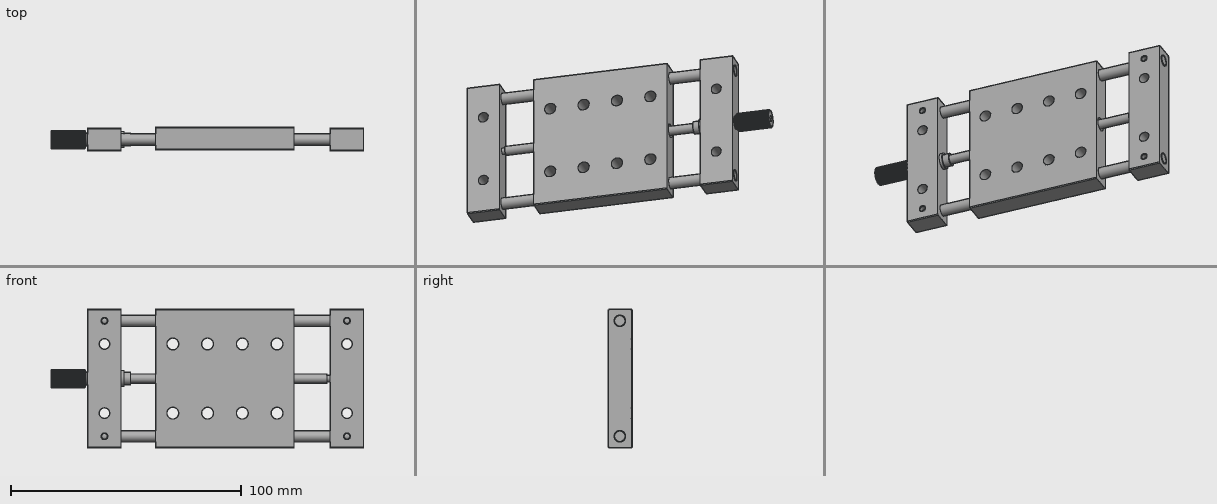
import cadquery as cq
import math

total_length = 135.5
height = 60.0
thickness = 10.0
edge_chamfer = 0.4
carriage_offset = 0.4

block_width = 14.5
left_block_x = 16.0
right_block_x = total_length - block_width
carriage_length = 60.0
carriage_x = 45.4

rod_diameter = 5.0
rod_chamfer = 0.3
rod_spacing = 50.0
rod_heights = (-rod_spacing / 2, rod_spacing / 2)

hole_row_spacing = 30.0
hole_rows = (-hole_row_spacing / 2, hole_row_spacing / 2)
carriage_hole_diameter = 5.0
carriage_hole_pitch = 15.0
carriage_hole_count = 4
block_hole_diameter = 4.5

clamp_hole_diameter = 2.5
clamp_mouth_diameter = 3.0

knob_diameter = 8.0
knob_length = 15.0
knob_root_diameter = 7.5
knob_chamfer = 0.4
knob_bore_diameter = 2.5
knob_bore_depth = 4.0
tooth_count = 40
shoulder_diameter = 6.0
shoulder_length = 0.4
collar_diameter = 7.0
collar_length = 1.2
journal_diameter = 5.5
journal_overhang = 4.0
spindle_diameter = 4.0
tip_diameter = 3.0
tip_length = 1.5
carriage_bore_diameter = 6.0


def cylinder(diameter, start, end, z=0.0):
    """Round bar along X from start to end at height z."""
    return cq.Workplane("YZ", origin=(start, 0, z)).circle(diameter / 2).extrude(end - start)


def cross_hole(diameter, x, z, start=-thickness, end=thickness):
    """Cutter along Y between two depths."""
    return cq.Workplane("XZ", origin=(x, start, z)).circle(diameter / 2).extrude(start - end)


def chamfered_plate(x, length, y=0.0):
    """Plate with its four long edges along X chamfered."""
    plate = cq.Workplane("XY").box(length, thickness, height)
    plate = plate.edges("|X").chamfer(edge_chamfer)
    return plate.translate((x + length / 2, y, 0))


def clamp_hole(x, z):
    """Clamp screw hole with a countersunk mouth, from the front face to the rod axis."""
    front = -thickness / 2
    mouth_depth = (clamp_mouth_diameter - clamp_hole_diameter) / 2
    mouth = cq.Workplane("XZ", origin=(x, front, z)).circle(clamp_mouth_diameter / 2)
    mouth = mouth.workplane(offset=-mouth_depth).circle(clamp_hole_diameter / 2).loft()
    return cross_hole(clamp_hole_diameter, x, z, front, 0).union(mouth)


def make_end_block(x):
    block = chamfered_plate(x, block_width)
    middle = x + block_width / 2
    for z in hole_rows:
        block = block.cut(cross_hole(block_hole_diameter, middle, z))
    for z in rod_heights:
        block = block.cut(clamp_hole(middle, z))
        block = block.cut(cylinder(rod_diameter, x, x + block_width, z))
    return block


def make_left_block():
    journal_bore = cylinder(journal_diameter, left_block_x, left_block_x + block_width)
    return make_end_block(left_block_x).cut(journal_bore)


def make_right_block():
    return make_end_block(right_block_x)


def make_carriage():
    end = carriage_x + carriage_length
    carriage = chamfered_plate(carriage_x, carriage_length, carriage_offset)
    first_hole = carriage_x + (carriage_length - (carriage_hole_count - 1) * carriage_hole_pitch) / 2
    for i in range(carriage_hole_count):
        for z in hole_rows:
            hole = cross_hole(carriage_hole_diameter, first_hole + i * carriage_hole_pitch, z)
            carriage = carriage.cut(hole)
    for z in rod_heights:
        carriage = carriage.cut(cylinder(rod_diameter, carriage_x, end, z))
    return carriage.cut(cylinder(carriage_bore_diameter, carriage_x, end))


def make_rod(z):
    rod = cylinder(rod_diameter, left_block_x, total_length, z)
    return rod.faces("<X or >X").chamfer(rod_chamfer)


def knurl_outline():
    """Points of the toothed knob section, alternating between tooth tips and roots."""
    points = []
    for i in range(2 * tooth_count):
        radius = (knob_root_diameter if i % 2 else knob_diameter) / 2
        angle = math.pi * i / tooth_count
        points.append((radius * math.cos(angle), radius * math.sin(angle)))
    return points


def make_knob():
    """Knob with straight knurling, chamfered ends and a centre bore in its free end."""
    envelope = cylinder(knob_diameter, 0, knob_length)
    envelope = envelope.faces("<X or >X").chamfer(knob_chamfer)
    knob = cq.Workplane("YZ").polyline(knurl_outline()).close().extrude(knob_length)
    return knob.intersect(envelope).cut(cylinder(knob_bore_diameter, 0, knob_bore_depth))


def make_spindle():
    block_end = left_block_x + block_width
    journal_end = block_end + journal_overhang
    tip_start = right_block_x - tip_length
    spindle = make_knob()
    spindle = spindle.union(cylinder(journal_diameter, knob_length, journal_end))
    shoulder_start = left_block_x - shoulder_length
    spindle = spindle.union(cylinder(shoulder_diameter, shoulder_start, left_block_x))
    spindle = spindle.union(cylinder(collar_diameter, block_end, block_end + collar_length))
    spindle = spindle.union(cylinder(spindle_diameter, journal_end, tip_start))
    return spindle.union(cylinder(tip_diameter, tip_start, right_block_x))


left_block = make_left_block()
right_block = make_right_block()
carriage = make_carriage()
rods = [make_rod(z) for z in rod_heights]
spindle = make_spindle()

result = cq.Compound.makeCompound(
    [left_block.val(), right_block.val(), carriage.val(), *[rod.val() for rod in rods], spindle.val()]
)